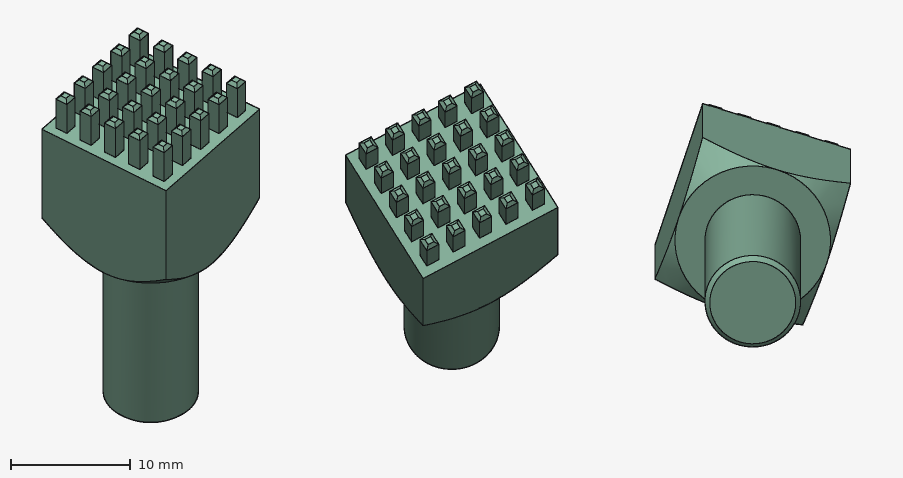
import cadquery as cq
import math

total_height = 34.0

shank_diameter = 8.0
shank_length = 18.0
shank_chamfer = 0.4

head_width = 13.0
head_height = 12.5
corner_clearance = 0.35

pins_per_side = 5
pin_row_length = 10.15
pin_pitch = pin_row_length / (pins_per_side - 1)
pin_width = 1.15
pin_chamfer = 0.3
pin_height = total_height - shank_length - head_height


def make_shank():
    """Cylinder standing on Z = 0 with a chamfered lower end."""
    shank = cq.Workplane("XY").circle(shank_diameter / 2).extrude(shank_length)
    return shank.faces("<Z").chamfer(shank_chamfer)


def make_head():
    """Square block trimmed by a cone whose lower circle touches the four sides."""
    block = cq.Workplane("XY").rect(head_width, head_width).extrude(head_height)
    inscribed_radius = head_width / 2
    outer_radius = inscribed_radius * math.sqrt(2) + corner_clearance
    cone_height = outer_radius - inscribed_radius
    turned_envelope = (
        cq.Workplane("XZ")
        .polyline([
            (0, 0),
            (inscribed_radius, 0),
            (outer_radius, cone_height),
            (outer_radius, head_height),
            (0, head_height),
        ])
        .close()
        .revolve(360, (0, 0, 0), (0, 1, 0))
    )
    return block.intersect(turned_envelope).translate((0, 0, shank_length))


def make_pins():
    """Square pins with chamfered tips, centred on the head's top face."""
    return (
        cq.Workplane("XY", origin=(0, 0, shank_length + head_height))
        .rarray(pin_pitch, pin_pitch, pins_per_side, pins_per_side)
        .rect(pin_width, pin_width)
        .extrude(pin_height)
        .faces(">Z")
        .chamfer(pin_chamfer)
    )


result = make_shank().union(make_head()).union(make_pins())